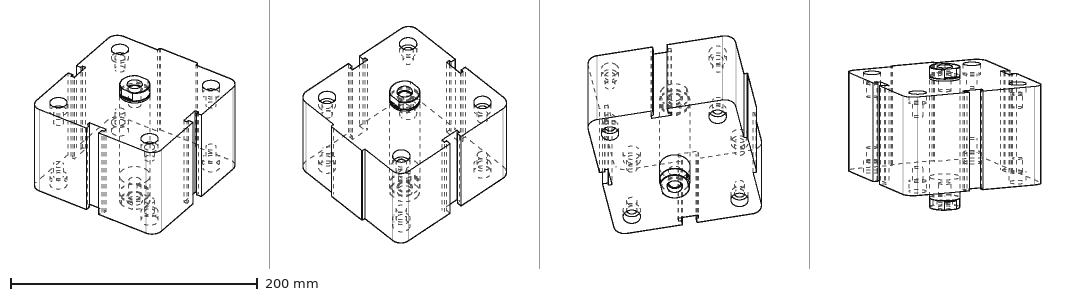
import cadquery as cq

HOUSING_WIDTH = 122.0
HOUSING_HEIGHT = 81.5
CORNER_RADIUS = 9.0

PAD_WIDTH = 37.5
PAD_THICKNESS = 3.0
PAD_CHAMFER = 0.6

SLOT_NECK_WIDTH = 12.0
SLOT_HEAD_WIDTH = 16.5
SLOT_LIP_DEPTH = 4.5
SLOT_DEPTH = 7.5
SLOT_TURNS = (-90, 0, 90)

MOUNT_HOLE_SPACING = 89.0
MOUNT_BORE_DIAMETER = 14.0
MOUNT_BORE_DEPTH = 8.5
MOUNT_PILOT_DIAMETER = 8.4
MOUNT_HOLE_DEPTH = 19.8

ROD_DIAMETER = 25.0
ROD_TOP_STICKOUT = 9.8
ROD_BOTTOM_STICKOUT = 25.2
ROD_LENGTH = ROD_BOTTOM_STICKOUT + HOUSING_HEIGHT + ROD_TOP_STICKOUT

ROD_END_DIAMETER = 24.5
ROD_END_LENGTH = 7.9
ROD_END_CHAMFER = 0.4
SHOULDER_CHAMFER = (ROD_DIAMETER - ROD_END_DIAMETER) / 2
FLATS_ACROSS = 22.0
FLAT_LENGTH = 7.0

ROD_BORE_DIAMETER = 12.2
ROD_BORE_DEPTH = 5.0
ROD_PILOT_DIAMETER = 10.1
ROD_HOLE_DEPTH = 20.0


def mirrored_ends(tool, length):
    """Pair a cutter made for the end at Z = 0 with its mirror image at Z = length."""
    middle = (0, 0, length / 2)
    return tool.union(tool.mirror("XY", middle))


def stepped_hole(bore_diameter, bore_depth, pilot_diameter, total_depth):
    """Cutter for a stepped blind hole that enters at Z = 0 and runs up."""
    bore = cq.Workplane("XY").circle(bore_diameter / 2).extrude(bore_depth)
    pilot = cq.Workplane("XY").circle(pilot_diameter / 2).extrude(total_depth)
    return bore.union(pilot)


def make_pad():
    """Pad on the +Y face with bevelled outer edges, rooted in the block."""
    root = HOUSING_WIDTH / 2 - PAD_THICKNESS
    pad = cq.Workplane("XY").box(PAD_WIDTH, 2 * PAD_THICKNESS, HOUSING_HEIGHT, centered=(True, False, False))
    return pad.faces(">Y").edges("|Z").chamfer(PAD_CHAMFER).translate((0, root, 0))


def make_t_slot():
    """Cutter for the T-slot in the -Y face."""
    face = -HOUSING_WIDTH / 2
    neck = cq.Workplane("XY").box(SLOT_NECK_WIDTH, SLOT_DEPTH, HOUSING_HEIGHT, centered=(True, False, False))
    head_depth = SLOT_DEPTH - SLOT_LIP_DEPTH
    head = cq.Workplane("XY").box(SLOT_HEAD_WIDTH, head_depth, HOUSING_HEIGHT, centered=(True, False, False))
    return neck.union(head.translate((0, SLOT_LIP_DEPTH, 0))).translate((0, face, 0))


def make_housing():
    block = (
        cq.Workplane("XY")
        .rect(HOUSING_WIDTH, HOUSING_WIDTH)
        .extrude(HOUSING_HEIGHT)
        .edges("|Z")
        .fillet(CORNER_RADIUS)
        .union(make_pad())
    )

    slot = make_t_slot()
    for turn in SLOT_TURNS:
        block = block.cut(slot.rotate((0, 0, 0), (0, 0, 1), turn))

    mount_hole = stepped_hole(MOUNT_BORE_DIAMETER, MOUNT_BORE_DEPTH, MOUNT_PILOT_DIAMETER, MOUNT_HOLE_DEPTH)
    mount_holes = mirrored_ends(mount_hole, HOUSING_HEIGHT)
    offset = MOUNT_HOLE_SPACING / 2
    for x in (-offset, offset):
        for y in (-offset, offset):
            block = block.cut(mount_holes.translate((x, y, 0)))

    rod_passage = cq.Workplane("XY").circle(ROD_DIAMETER / 2).extrude(HOUSING_HEIGHT)
    return block.cut(rod_passage)


def make_rod():
    shaft = (
        cq.Workplane("XY")
        .workplane(offset=ROD_END_LENGTH)
        .circle(ROD_DIAMETER / 2)
        .extrude(ROD_LENGTH - 2 * ROD_END_LENGTH)
        .faces("<Z or >Z")
        .chamfer(SHOULDER_CHAMFER)
    )
    core = (
        cq.Workplane("XY")
        .circle(ROD_END_DIAMETER / 2)
        .extrude(ROD_LENGTH)
        .faces("<Z or >Z")
        .chamfer(ROD_END_CHAMFER)
    )
    rod = shaft.union(core)

    outside_flats = (
        cq.Workplane("XY")
        .rect(2 * ROD_DIAMETER, 2 * ROD_DIAMETER)
        .rect(2 * ROD_DIAMETER, FLATS_ACROSS)
        .extrude(FLAT_LENGTH)
    )
    bore = stepped_hole(ROD_BORE_DIAMETER, ROD_BORE_DEPTH, ROD_PILOT_DIAMETER, ROD_HOLE_DEPTH)
    rod = rod.cut(mirrored_ends(outside_flats, ROD_LENGTH))
    rod = rod.cut(mirrored_ends(bore, ROD_LENGTH))
    return rod.translate((0, 0, -ROD_BOTTOM_STICKOUT))


housing = make_housing()
rod = make_rod()

result = cq.Compound.makeCompound([housing.val(), rod.val()])